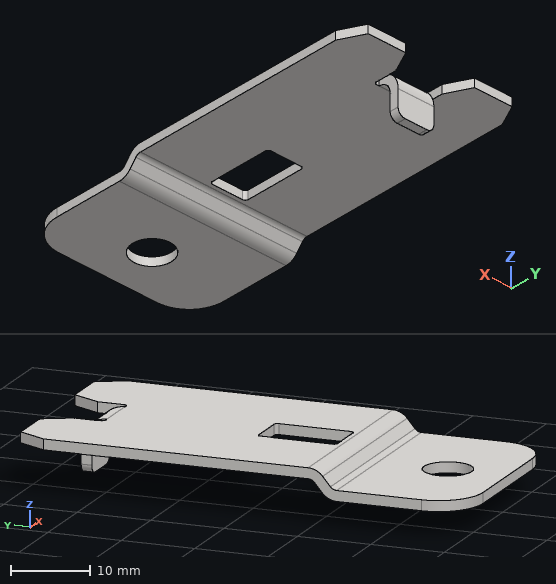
import cadquery as cq
import math

length = 61.4
width = 29.0
height = 7.5
thickness = 1.5
rear = length / 2
front = -length / 2
front_corner_radius = 6.0

joggle_start = -9.25
joggle_drop = 2.6
joggle_angle = math.radians(50)
joggle_inner_radius = 1.1
joggle_outer_radius = joggle_inner_radius + thickness

notch_width = 8.0
notch_depth = 8.0
slant_across = 1.95
slant_along = 3.9

tab_width = 6.2
tab_outer_radius = 3.5
tab_inner_radius = tab_outer_radius - thickness
tab_corner_radius = 1.2
bend_line = rear - notch_depth
relief_radius = (notch_width - tab_width) / 4

slot_length = 10.75
slot_center = -3.2
slot_corner_radius = 0.5
hole_diameter = 6.5
hole_center = -22.5


def extrude_across(profile, across):
    """Extrude a YZ profile symmetrically about the middle of the width."""
    return profile.extrude(across / 2, both=True)


def make_strip():
    """Joggled strip: the upper face of the rear flat lies at Z = 0."""
    sine = math.sin(joggle_angle)
    cosine = math.cos(joggle_angle)
    half_sine = math.sin(joggle_angle / 2)
    half_cosine = math.cos(joggle_angle / 2)
    radius_sum = joggle_inner_radius + joggle_outer_radius
    slope_drop = joggle_drop - radius_sum * (1 - cosine)
    slope_run = slope_drop / math.tan(joggle_angle)
    joggle_end = joggle_start - radius_sum * sine - slope_run

    def upper_bend(radius, sin_value, cos_value):
        return (joggle_start - radius * sin_value, -joggle_outer_radius + radius * cos_value)

    lower_bend_z = joggle_inner_radius - joggle_drop

    def lower_bend(radius, sin_value, cos_value):
        return (joggle_end + radius * sin_value, lower_bend_z - radius * cos_value)

    profile = (
        cq.Workplane("YZ")
        .moveTo(rear, 0)
        .lineTo(joggle_start, 0)
        .threePointArc(
            upper_bend(joggle_outer_radius, half_sine, half_cosine),
            upper_bend(joggle_outer_radius, sine, cosine),
        )
        .lineTo(*lower_bend(joggle_inner_radius, sine, cosine))
        .threePointArc(
            lower_bend(joggle_inner_radius, half_sine, half_cosine),
            (joggle_end, -joggle_drop),
        )
        .lineTo(front, -joggle_drop)
        .lineTo(front, -joggle_drop - thickness)
        .lineTo(joggle_end, -joggle_drop - thickness)
        .threePointArc(
            lower_bend(joggle_outer_radius, half_sine, half_cosine),
            lower_bend(joggle_outer_radius, sine, cosine),
        )
        .lineTo(*upper_bend(joggle_inner_radius, sine, cosine))
        .threePointArc(
            upper_bend(joggle_inner_radius, half_sine, half_cosine),
            (joggle_start, -thickness),
        )
        .lineTo(rear, -thickness)
        .close()
    )
    strip = extrude_across(profile, width)
    return strip.edges("|Z and <Y").fillet(front_corner_radius)


def cut_through(plan):
    """Turn a plan outline at Z = 0 into a cutter through the whole height."""
    return plan.extrude(-height)


def make_notch():
    half = notch_width / 2
    outline = (
        cq.Workplane("XY")
        .moveTo(-half - slant_across, rear)
        .lineTo(-half, rear - slant_along)
        .lineTo(-half, bend_line)
        .lineTo(half, bend_line)
        .lineTo(half, rear - slant_along)
        .lineTo(half + slant_across, rear)
        .close()
    )
    return cut_through(outline).edges("|Z and <Y").fillet(relief_radius)


def make_outer_slant(side):
    edge = side * width / 2
    outline = cq.Workplane("XY").polyline(
        [(edge, rear), (edge - side * slant_across, rear), (edge, rear - slant_along)]
    ).close()
    return cut_through(outline)


def make_tab():
    """Quarter bend and downward leg, rooted in the sheet behind the bend line."""
    leg_outer = bend_line + tab_outer_radius
    leg_inner = leg_outer - thickness
    diagonal = math.sqrt(0.5)
    profile = (
        cq.Workplane("YZ")
        .moveTo(bend_line - thickness, 0)
        .lineTo(bend_line, 0)
        .threePointArc(
            (bend_line + tab_outer_radius * diagonal, tab_outer_radius * (diagonal - 1)),
            (leg_outer, -tab_outer_radius),
        )
        .lineTo(leg_outer, -height)
        .lineTo(leg_inner, -height)
        .lineTo(leg_inner, -tab_outer_radius)
        .threePointArc(
            (bend_line + tab_inner_radius * diagonal, tab_inner_radius * diagonal - tab_outer_radius),
            (bend_line, -thickness),
        )
        .lineTo(bend_line - thickness, -thickness)
        .close()
    )
    tab = extrude_across(profile, tab_width)
    return tab.faces("<Z").edges("|Y").fillet(tab_corner_radius)


def make_slot():
    outline = cq.Workplane("XY").center(0, slot_center).rect(tab_width, slot_length)
    return cut_through(outline).edges("|Z").fillet(slot_corner_radius)


def make_hole():
    return cut_through(cq.Workplane("XY").center(0, hole_center).circle(hole_diameter / 2))


result = make_strip().cut(make_notch())
for side in (-1, 1):
    result = result.cut(make_outer_slant(side))
result = result.cut(make_slot()).cut(make_hole()).union(make_tab())